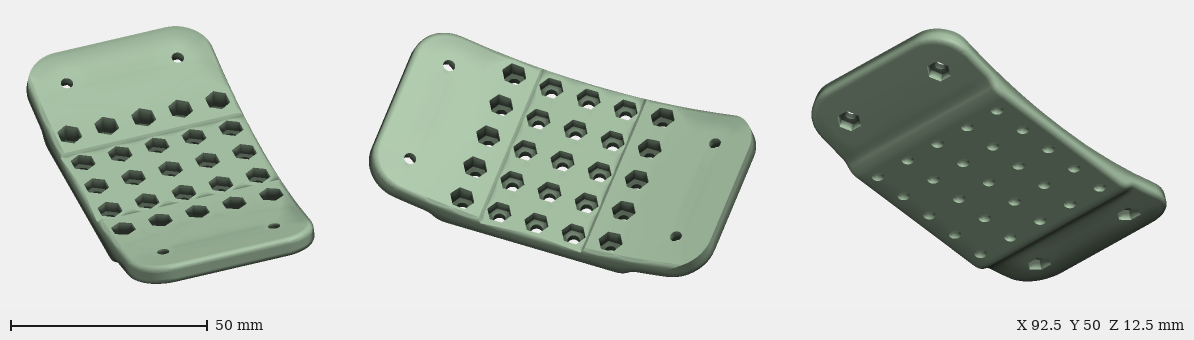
import cadquery as cq
import math

thickness = 5.0
overall_height = 12.5
inner_radius = 138.9
outer_radius = inner_radius + thickness
arc_centre_z = outer_radius
half_angle = math.acos((arc_centre_z - overall_height) / inner_radius)
plate_width = 50.0
corner_radius = 10.0
edge_radius = 1.5

grid_pitch = 10.0
grid_count = 5

block_half_length = grid_count * grid_pitch / 2
block_blend_radius = 5.0

recess_floor_z = thickness
recess_half_length = 13.5

hole_diameter = 3.1
nut_sides = 6
nut_across_corners = 6.5
nut_floor_z = 1.9

wing_hole_angle = math.radians(14.9)
wing_hole_half_spacing = 1.5 * grid_pitch
wing_nut_depth = 3.0


def arc_point(radius, angle):
    """Point in the XZ plane at an angle (radians) from the lowest point of the arc."""
    return (radius * math.sin(angle), arc_centre_z - radius * math.cos(angle))


def nearest_edge(body, x, y, z):
    """The edge of the body whose centre is closest to a point."""
    return body.edges(cq.selectors.NearestToPointSelector((x, y, z)))


def tangent_plane(angle):
    """Plane touching the underside arc: local x along Y, normal towards the arc centre."""
    x, z = arc_point(outer_radius, angle)
    normal = (-math.sin(angle), 0, math.cos(angle))
    return cq.Plane(origin=(x, 0, z), xDir=(0, 1, 0), normal=normal)


def make_body():
    """Extrude the band and block outline, then round the block corners."""
    shift = block_half_length + arc_centre_z
    flank_x = (shift - math.sqrt(2 * outer_radius**2 - shift**2)) / 2
    flank_z = flank_x - block_half_length
    flank_angle = math.asin(flank_x / outer_radius)
    mid_angle = (flank_angle + half_angle) / 2

    body = (
        cq.Workplane("XZ")
        .moveTo(-block_half_length, 0)
        .lineTo(block_half_length, 0)
        .lineTo(flank_x, flank_z)
        .threePointArc(arc_point(outer_radius, mid_angle), arc_point(outer_radius, half_angle))
        .lineTo(*arc_point(inner_radius, half_angle))
        .threePointArc(arc_point(inner_radius, 0), arc_point(inner_radius, -half_angle))
        .lineTo(*arc_point(outer_radius, -half_angle))
        .threePointArc(arc_point(outer_radius, -mid_angle), (-flank_x, flank_z))
        .close()
        .extrude(plate_width / 2, both=True)
    )
    for side in (-1, 1):
        for x, z in ((block_half_length, 0), (flank_x, flank_z)):
            body = nearest_edge(body, side * x, 0, z).fillet(block_blend_radius)
    return body


def round_end_corners(body, end):
    """Round the two corners at one end (-1 or 1), square to the curved surface."""
    plane = tangent_plane(end * half_angle)
    bulge = corner_radius * (1 - math.sqrt(0.5))
    for side in (-1, 1):
        edge_y = side * plate_width / 2
        start_y = edge_y - side * corner_radius
        waste = (
            cq.Workplane(plane)
            .moveTo(start_y, 0)
            .threePointArc((edge_y - side * bulge, end * bulge), (edge_y, end * corner_radius))
            .lineTo(edge_y, 0)
            .close()
            .extrude(2 * thickness, both=True)
        )
        body = body.cut(waste)
    return body


def round_upper_edges(body):
    """Round the upper rim along both sides and around the +X end."""
    x, z = arc_point(inner_radius, half_angle)
    return nearest_edge(body, x, 0, z).fillet(edge_radius)


def round_lower_edges(body):
    """Round the whole lower rim."""
    return nearest_edge(body, 0, -plate_width / 2, 0).fillet(edge_radius)


def recess_cutter():
    """Tapered slot that flattens the middle of the curved surface."""
    wall_height = overall_height
    top_half_length = recess_half_length + wall_height
    return (
        cq.Workplane("XZ")
        .moveTo(-recess_half_length, recess_floor_z)
        .lineTo(recess_half_length, recess_floor_z)
        .lineTo(top_half_length, recess_floor_z + wall_height)
        .lineTo(-top_half_length, recess_floor_z + wall_height)
        .close()
        .extrude(plate_width, both=True)
    )


def grid_cutter():
    """Upright screw holes with hexagonal nut pockets open at the top."""
    holes = (
        cq.Workplane("XY")
        .rarray(grid_pitch, grid_pitch, grid_count, grid_count)
        .circle(hole_diameter / 2)
        .extrude(overall_height)
    )
    pockets = (
        cq.Workplane("XY", origin=(0, 0, nut_floor_z))
        .rarray(grid_pitch, grid_pitch, grid_count, grid_count)
        .polygon(nut_sides, nut_across_corners)
        .extrude(overall_height)
    )
    return holes.union(pockets)


def wing_cutter(end):
    """Two screw holes in one wing, each with a nut pocket sunk from below."""
    plane = tangent_plane(end * wing_hole_angle)
    centres = [(-wing_hole_half_spacing, 0), (wing_hole_half_spacing, 0)]
    holes = (
        cq.Workplane(plane)
        .pushPoints(centres)
        .circle(hole_diameter / 2)
        .extrude(2 * thickness, both=True)
    )
    pockets = (
        cq.Workplane(plane)
        .pushPoints(centres)
        .polygon(nut_sides, nut_across_corners)
        .extrude(wing_nut_depth, both=True)
    )
    return holes.union(pockets)


result = make_body()
result = round_end_corners(result, 1)
result = round_upper_edges(result)
result = round_end_corners(result, -1)
result = round_lower_edges(result)
result = result.cut(recess_cutter()).cut(grid_cutter())
for wing in (-1, 1):
    result = result.cut(wing_cutter(wing))